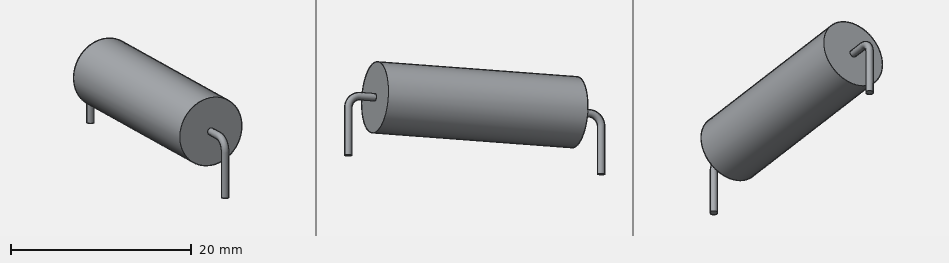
import cadquery as cq

overall_length = 31.05
overall_height = 10.7
body_diameter = 7.9
body_length = 23.85
lead_diameter = 0.85
bend_radius = 1.4

lead_x = (overall_length - lead_diameter) / 2
body_end_x = body_length / 2
bend_start_x = lead_x - bend_radius
lead_tip_z = body_diameter / 2 - overall_height


def make_body():
    """Plain cylinder lying along X."""
    return (
        cq.Workplane("YZ", origin=(-body_end_x, 0, 0))
        .circle(body_diameter / 2)
        .extrude(body_length)
    )


def make_lead(side):
    """Round wire leaving one end face and bent down; side is -1 or +1 along X."""
    centreline = (
        cq.Workplane("XZ")
        .moveTo(side * body_end_x, 0)
        .lineTo(side * bend_start_x, 0)
        .tangentArcPoint((side * lead_x, -bend_radius), relative=False)
        .lineTo(side * lead_x, lead_tip_z)
    )
    return (
        cq.Workplane("YZ", origin=(side * body_end_x, 0, 0))
        .circle(lead_diameter / 2)
        .sweep(centreline)
    )


body = make_body()
leads = [make_lead(side) for side in (-1, 1)]

result = cq.Compound.makeCompound([body.val(), *[lead.val() for lead in leads]])